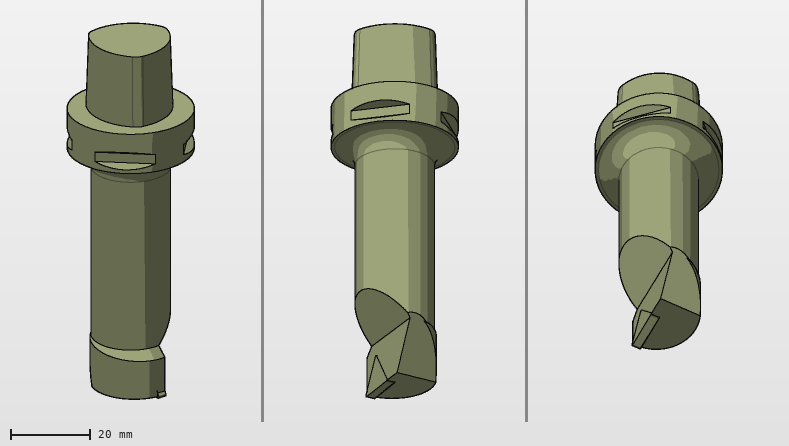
import cadquery as cq
import math

TOTAL_LENGTH = 94.0

TAPER_HEIGHT = 19.0
TAPER_TOP_SHRINK = 0.7
CORNER_RADIAL = 11.75
CORNER_EDGE_DROP = 0.2
CORNER_HALF_ANGLE = 6.8
FLANK_RADIAL = 10.3

FLANGE_RADIUS = 16.0
FLANGE_HEIGHT = 10.8
SLOT_COUNT = 4
SLOT_FLOOR_RADIAL = 14.05
SLOT_FLOOR_HEIGHT = 2.5
SLOT_WALL_ANGLE = 30.0
SLOT_CENTER_Z = -7.4

BAR_RADIUS = 20.0 / 2
NECK_RADIUS = 5.1
BAR_END_Z = -62.0

TIP_Z = TAPER_HEIGHT - TOTAL_LENGTH
HEAD_RADIUS = 11.1
HEAD_OFFSET_X = 1.3
HEAD_BOTTOM_Z = TIP_Z + 0.4
RAKE_Y = 0.9
RELIEF_TOP_Z = -53.0
HEEL_TOP_Z = -60.7
HEEL_BOTTOM_X = -2.8

INSERT_TIP_X = 12.9
INSERT_NOSE_RADIUS = 0.4
INSERT_SIDE = 9.9
INSERT_THICKNESS = 2.35
INSERT_TILT = 1.5

CLEARANCE = 4.7


def polar(radius, degrees):
    angle = math.radians(degrees)
    return (radius * math.cos(angle), radius * math.sin(angle))


def taper_section(z, shrink):
    """Closed wire of the rounded three-sided section at height z."""
    edge_radial = CORNER_RADIAL - CORNER_EDGE_DROP - shrink
    first_corner = 90.0
    sketch = cq.Workplane("XY", origin=(0, 0, z))
    sketch = sketch.moveTo(*polar(edge_radial, first_corner - CORNER_HALF_ANGLE))
    for corner in range(3):
        angle = first_corner + 120.0 * corner
        sketch = sketch.threePointArc(
            polar(CORNER_RADIAL - shrink, angle),
            polar(edge_radial, angle + CORNER_HALF_ANGLE),
        )
        sketch = sketch.threePointArc(
            polar(FLANK_RADIAL - shrink, angle + 60.0),
            polar(edge_radial, angle + 120.0 - CORNER_HALF_ANGLE),
        )
    return sketch.close().wire().val()


def make_taper():
    base = taper_section(0.0, 0.0)
    top = taper_section(TAPER_HEIGHT, TAPER_TOP_SHRINK)
    return cq.Workplane(obj=cq.Solid.makeLoft([base, top], True))


def make_flange_and_bar():
    neck_outer = BAR_RADIUS + NECK_RADIUS
    neck_bottom_z = -FLANGE_HEIGHT - NECK_RADIUS
    arc_offset = NECK_RADIUS * math.sqrt(0.5)
    return (
        cq.Workplane("XZ")
        .moveTo(0, 0)
        .lineTo(FLANGE_RADIUS, 0)
        .lineTo(FLANGE_RADIUS, -FLANGE_HEIGHT)
        .lineTo(neck_outer, -FLANGE_HEIGHT)
        .threePointArc(
            (neck_outer - arc_offset, neck_bottom_z + arc_offset),
            (BAR_RADIUS, neck_bottom_z),
        )
        .lineTo(BAR_RADIUS, BAR_END_Z)
        .lineTo(0, BAR_END_Z)
        .close()
        .revolve(360, (0, 0, 0), (0, 1, 0))
    )


def make_gripper_slot(angle):
    """Flat-floored slot tool with flaring walls, turned to the given angle about Z."""
    outer_radial = FLANGE_RADIUS + CLEARANCE
    floor_half = SLOT_FLOOR_HEIGHT / 2
    flare = (outer_radial - SLOT_FLOOR_RADIAL) * math.tan(math.radians(SLOT_WALL_ANGLE))
    return (
        cq.Workplane("XZ", origin=(0, 0, SLOT_CENTER_Z))
        .polyline([
            (SLOT_FLOOR_RADIAL, -floor_half),
            (outer_radial, -floor_half - flare),
            (outer_radial, floor_half + flare),
            (SLOT_FLOOR_RADIAL, floor_half),
        ])
        .close()
        .extrude(FLANGE_RADIUS, both=True)
        .rotate((0, 0, 0), (0, 0, 1), angle)
    )


def make_head():
    """Eccentric cylinder trimmed by a cone coaxial with the bar."""
    height = BAR_END_Z - HEAD_BOTTOM_Z
    cylinder = (
        cq.Workplane("XY", origin=(HEAD_OFFSET_X, 0, HEAD_BOTTOM_Z))
        .circle(HEAD_RADIUS)
        .extrude(height)
    )
    cone = cq.Solid.makeCone(
        BAR_RADIUS + height, BAR_RADIUS, height, pnt=cq.Vector(0, 0, HEAD_BOTTOM_Z)
    )
    return cylinder.intersect(cq.Workplane(obj=cone))


def make_relief():
    """Tool that clears the +Y side down to the rake face."""
    outer_y = BAR_RADIUS + CLEARANCE
    return (
        cq.Workplane("YZ")
        .polyline([
            (outer_y, RELIEF_TOP_Z + CLEARANCE),
            (RAKE_Y, RELIEF_TOP_Z - BAR_RADIUS + RAKE_Y),
            (RAKE_Y, TIP_Z - CLEARANCE),
            (outer_y, TIP_Z - CLEARANCE),
        ])
        .close()
        .extrude(FLANGE_RADIUS, both=True)
    )


def make_heel_cut():
    """Wedge tool that leaves the slanting heel."""
    run_per_drop = (HEEL_BOTTOM_X + BAR_RADIUS) / (HEEL_TOP_Z - HEAD_BOTTOM_Z)
    overrun = CLEARANCE * run_per_drop
    return (
        cq.Workplane("XZ")
        .polyline([
            (-BAR_RADIUS - overrun, HEEL_TOP_Z + CLEARANCE),
            (HEEL_BOTTOM_X + overrun, HEAD_BOTTOM_Z - CLEARANCE),
            (-BAR_RADIUS - overrun, HEAD_BOTTOM_Z - CLEARANCE),
        ])
        .close()
        .extrude(FLANGE_RADIUS, both=True)
    )


def make_insert():
    """Equilateral insert with rounded noses, flush with the rake face."""
    tip_x = INSERT_TIP_X - INSERT_NOSE_RADIUS
    tip_z = TIP_Z + INSERT_NOSE_RADIUS
    lower_dx, lower_dz = polar(INSERT_SIDE, 180.0 - INSERT_TILT)
    upper_dx, upper_dz = polar(INSERT_SIDE, 120.0 - INSERT_TILT)
    return (
        cq.Workplane("XZ", origin=(0, RAKE_Y, 0))
        .polyline([
            (tip_x, tip_z),
            (tip_x + upper_dx, tip_z + upper_dz),
            (tip_x + lower_dx, tip_z + lower_dz),
        ])
        .close()
        .offset2D(INSERT_NOSE_RADIUS)
        .extrude(INSERT_THICKNESS)
    )


def make_holder(insert):
    holder = make_flange_and_bar().union(make_taper()).union(make_head())
    for slot in range(SLOT_COUNT):
        holder = holder.cut(make_gripper_slot(45.0 + slot * 360.0 / SLOT_COUNT))
    holder = holder.cut(make_relief()).cut(make_heel_cut())
    return holder.cut(insert)


cutting_insert = make_insert()
holder = make_holder(cutting_insert)

result = cq.Compound.makeCompound([holder.solids().val(), cutting_insert.val()])